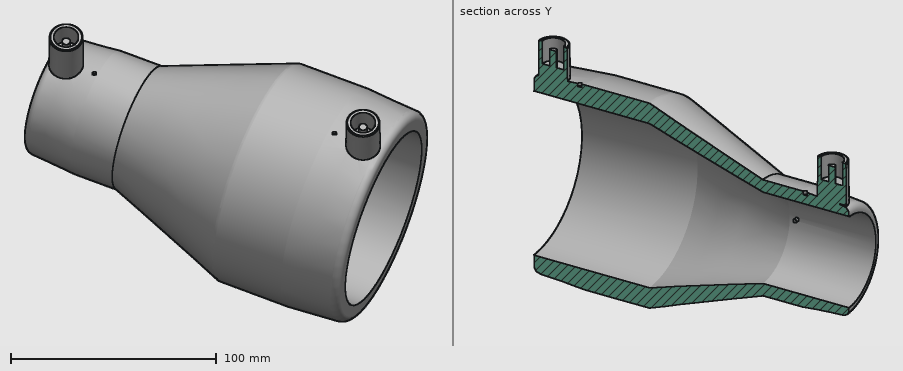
import cadquery as cq

LENGTH = 179.0
SMALL_RADIUS = 64.0 / 2
LARGE_RADIUS = 113.0 / 2
SMALL_BORE_RADIUS = 50.0 / 2
LARGE_BORE_RADIUS = 90.0 / 2
TAPER_DROP = 1.8
LIP_ROUND = 4.0
SMALL_TAPER_END = 26.7
CONE_START = 48.9
CONE_END = 113.3
LARGE_TAPER_START = 149.8
SHOULDER_BLEND = 3.5

TERMINAL_X_POSITIONS = (9.8, LENGTH - 11.0)
TERMINAL_TOPS = (53.7, 74.02)
TERMINAL_TOP_RADIUS = 8.15
TERMINAL_BASE_RADIUS = 8.5
TERMINAL_HEIGHT = 23.3
TERMINAL_EDGE = 0.5
SOCKET_RADIUS = 12.0 / 2
SOCKET_DEPTH = 12.5
PIN_RADIUS = 4.0 / 2
PIN_HEIGHT = 9.0

INDICATOR_RADIUS = 2.0 / 2
INDICATOR_X_POSITIONS = (24.9, LENGTH - 26.1)
INDICATOR_DEPTH = 2.0

STOP_RADIUS = 2.0 / 2
STOP_PROTRUSION = 2.1
STOP_X = 44.8
STOP_ROOT = 1.8


def make_body():
    small_lip_radius = SMALL_RADIUS - TAPER_DROP
    large_lip_radius = LARGE_RADIUS - TAPER_DROP
    outline = (
        cq.Workplane("XY")
        .moveTo(0, SMALL_BORE_RADIUS)
        .lineTo(0, small_lip_radius - LIP_ROUND)
        .radiusArc((LIP_ROUND, small_lip_radius), LIP_ROUND)
        .lineTo(SMALL_TAPER_END, SMALL_RADIUS)
        .lineTo(CONE_START, SMALL_RADIUS)
        .lineTo(CONE_END, LARGE_RADIUS)
        .lineTo(LARGE_TAPER_START, LARGE_RADIUS)
        .lineTo(LENGTH - LIP_ROUND, large_lip_radius)
        .radiusArc((LENGTH, large_lip_radius - LIP_ROUND), LIP_ROUND)
        .lineTo(LENGTH, LARGE_BORE_RADIUS)
        .lineTo(CONE_END, LARGE_BORE_RADIUS)
        .lineTo(CONE_START, SMALL_BORE_RADIUS)
        .close()
    )
    body = outline.revolve(360, (0, 0, 0), (1, 0, 0))
    margin = 1.8
    shoulder = cq.selectors.BoxSelector(
        (CONE_END - margin, -LARGE_RADIUS - margin, -LARGE_RADIUS - margin),
        (CONE_END + margin, LARGE_RADIUS + margin, LARGE_RADIUS + margin),
        boundingbox=False,
    )
    largest = cq.selectors.RadiusNthSelector(-1)
    return body.edges(shoulder).edges(largest).fillet(SHOULDER_BLEND)


def make_terminal(x, top):
    base = top - TERMINAL_HEIGHT
    socket_floor = top - SOCKET_DEPTH
    section = (
        cq.Workplane("XZ")
        .moveTo(0, base)
        .lineTo(TERMINAL_BASE_RADIUS, base)
        .lineTo(TERMINAL_TOP_RADIUS, top - TERMINAL_EDGE)
        .lineTo(TERMINAL_TOP_RADIUS - TERMINAL_EDGE, top)
        .lineTo(SOCKET_RADIUS, top)
        .lineTo(SOCKET_RADIUS, socket_floor)
        .lineTo(PIN_RADIUS, socket_floor)
        .lineTo(PIN_RADIUS, socket_floor + PIN_HEIGHT)
        .lineTo(0, socket_floor + PIN_HEIGHT)
        .close()
    )
    return section.revolve(360, (0, 0, 0), (0, 1, 0)).translate((x, 0, 0))


def make_indicator_hole(x):
    floor = LARGE_RADIUS - INDICATOR_DEPTH if x > CONE_END else SMALL_RADIUS - INDICATOR_DEPTH
    hole = cq.Workplane("XY", origin=(x, 0, floor))
    return hole.circle(INDICATOR_RADIUS).extrude(2 * INDICATOR_DEPTH)


def make_pipe_stop():
    start = -SMALL_BORE_RADIUS - STOP_ROOT
    peg = cq.Workplane("ZX", origin=(STOP_X, start, 0))
    return peg.circle(STOP_RADIUS).extrude(STOP_ROOT + STOP_PROTRUSION)


result = make_body().union(make_pipe_stop())
for terminal_x, terminal_top in zip(TERMINAL_X_POSITIONS, TERMINAL_TOPS):
    result = result.union(make_terminal(terminal_x, terminal_top))
for indicator_x in INDICATOR_X_POSITIONS:
    result = result.cut(make_indicator_hole(indicator_x))